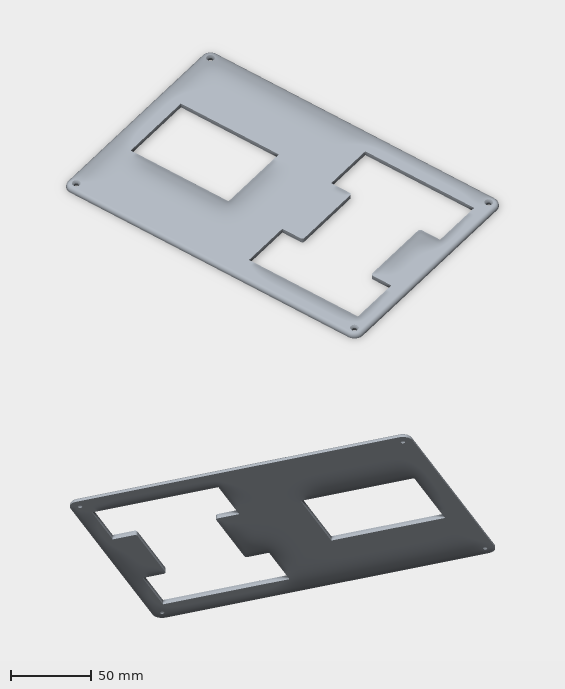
import cadquery as cq

length = 228.6
width = 152.4
thickness = 3.175
corner_radius = 6.35
edge_round = 2.54

hole_diameter = 2.85
countersink_diameter = 5.38
countersink_angle = 82

window_length = 75.95
window_width = 52.25
window_center_x = -60.35

opening_length = 84.55
opening_width = 121.0
opening_center_x = 61.4
tab_reach = 15.9
tab_width = 50.85
tab_center_y = -0.4
tab_corner_radius = 1.6


def make_plate():
    """Rounded rectangle standing on Z = 0 with its top edge rounded over."""
    plate = cq.Workplane("XY").box(length, width, thickness, centered=(True, True, False))
    plate = plate.edges("|Z").fillet(corner_radius)
    return plate.faces(">Z").edges().fillet(edge_round)


def through_block(block_length, block_width, center_x, center_y=0):
    """Full-thickness rectangular block with the given centre."""
    block = cq.Workplane("XY").box(block_length, block_width, thickness, centered=(True, True, False))
    return block.translate((center_x, center_y, 0))


def make_tab(side):
    """Tab on the left (side = -1) or right (side = 1) of the opening, free corners rounded."""
    center_x = opening_center_x + side * (opening_length - tab_reach) / 2
    free_edges = "|Z and >X" if side < 0 else "|Z and <X"
    tab = through_block(tab_reach, tab_width, center_x, tab_center_y)
    return tab.edges(free_edges).fillet(tab_corner_radius)


def make_opening():
    """Material removed by the large opening, leaving both tabs in place."""
    opening = through_block(opening_length, opening_width, opening_center_x)
    for side in (-1, 1):
        opening = opening.cut(make_tab(side))
    return opening


def drill_corner_holes(plate):
    """Countersunk through hole at the centre of each corner arc."""
    spacing_x = length - 2 * corner_radius
    spacing_y = width - 2 * corner_radius
    return (
        plate.faces(">Z")
        .workplane(origin=(0, 0, thickness))
        .rect(spacing_x, spacing_y, forConstruction=True)
        .vertices()
        .cskHole(hole_diameter, countersink_diameter, countersink_angle)
    )


result = drill_corner_holes(make_plate())
result = result.cut(through_block(window_length, window_width, window_center_x))
result = result.cut(make_opening())